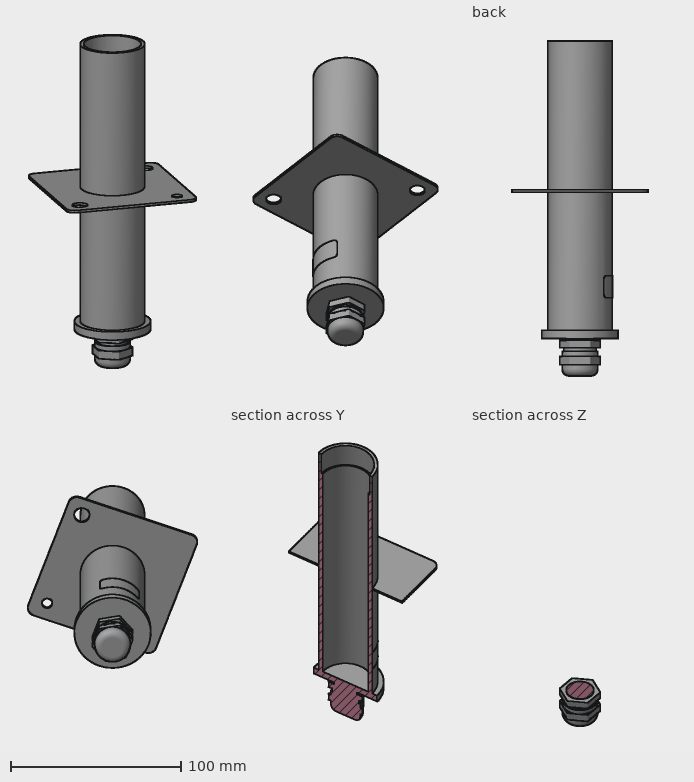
import cadquery as cq
import math

total_height = 197.0
tube_diameter = 38.0
socket_diameter = 33.7
socket_depth = 15.0
bore_diameter = 32.0

flange_diameter = 45.0
flange_thickness = 5.0
flange_bottom = 22.0
flange_top = flange_bottom + flange_thickness

plate_size = 80.0
plate_thickness = 1.5
plate_top = 109.5
plate_bottom = plate_top - plate_thickness
plate_corner_radius = 5.0
plate_hole_offset = 30.0
large_hole_diameter = 9.0
small_hole_diameter = 6.0

hex_across_flats = 21.0
hex_corner_radius = 0.6
hex_across_corners = hex_across_flats / math.cos(math.pi / 6)
neck_diameter = 16.31
body_hex_bottom = 16.5
body_hex_height = 4.5
body_hex_top = body_hex_bottom + body_hex_height
cap_diameter = 20.99
cap_top = 14.5
collar_diameter = 19.28
cap_dome_radius = 4.1
cap_hex_bottom = 6.5
cap_hex_height = 5.0

panel_width = 24.0
panel_height = 13.0
panel_corner_radius = 2.0
panel_thickness = 0.1
panel_center_y = 0.9
panel_center_z = 52.5


def cylinder(diameter, bottom, top):
    return cq.Workplane("XY").workplane(offset=bottom).circle(diameter / 2).extrude(top - bottom)


def hexagon(bottom, height):
    """Hexagonal prism with two corners on the X axis and its corners slightly rounded."""
    prism = cq.Workplane("XY").workplane(offset=bottom).polygon(6, hex_across_corners).extrude(height)
    return prism.edges("|Z").fillet(hex_corner_radius)


def make_plate():
    plate = (
        cq.Workplane("XY")
        .workplane(offset=plate_bottom)
        .rect(plate_size, plate_size)
        .extrude(plate_thickness)
        .edges("|Z")
        .fillet(plate_corner_radius)
    )
    offset = plate_hole_offset
    holes = [
        (-offset, offset, large_hole_diameter),
        (offset, -offset, large_hole_diameter),
        (offset, offset, small_hole_diameter),
    ]
    for x, y, diameter in holes:
        plate = plate.cut(cylinder(diameter, plate_bottom, plate_top).translate((x, y, 0)))
    return plate


def make_panel():
    """Rounded rectangle cut from a thin shell that wraps the tube."""
    outline = (
        cq.Workplane("YZ")
        .center(panel_center_y, panel_center_z)
        .rect(panel_width, panel_height)
        .extrude(-tube_diameter)
        .edges("|X")
        .fillet(panel_corner_radius)
    )
    wrap_diameter = tube_diameter + 2 * panel_thickness
    return cylinder(wrap_diameter, flange_top, plate_bottom).intersect(outline)


def make_gland_cap():
    """Domed cap nut with a narrower collar between it and the body hexagon."""
    radius = cap_diameter / 2
    dome_start = radius - cap_dome_radius
    dome_middle = cap_dome_radius * math.sqrt(0.5)
    profile = (
        cq.Workplane("XZ")
        .lineTo(dome_start, 0)
        .threePointArc(
            (dome_start + dome_middle, cap_dome_radius - dome_middle),
            (radius, cap_dome_radius),
        )
        .lineTo(radius, cap_top)
        .lineTo(collar_diameter / 2, cap_top)
        .lineTo(collar_diameter / 2, body_hex_bottom)
        .lineTo(0, body_hex_bottom)
        .close()
    )
    return profile.revolve(360, (0, 0, 0), (0, 1, 0))


def make_gland():
    gland = make_gland_cap()
    gland = gland.union(hexagon(cap_hex_bottom, cap_hex_height))
    gland = gland.union(hexagon(body_hex_bottom, body_hex_height))
    return gland.union(cylinder(neck_diameter, body_hex_top, flange_bottom))


def make_bore():
    socket = cylinder(socket_diameter, total_height - socket_depth, total_height)
    return socket.union(cylinder(bore_diameter, flange_top, total_height))


part = cylinder(tube_diameter, flange_bottom, total_height)
part = part.union(cylinder(flange_diameter, flange_bottom, flange_top))
part = part.union(make_plate())
part = part.union(make_panel())
part = part.cut(make_bore())
result = part.union(make_gland())